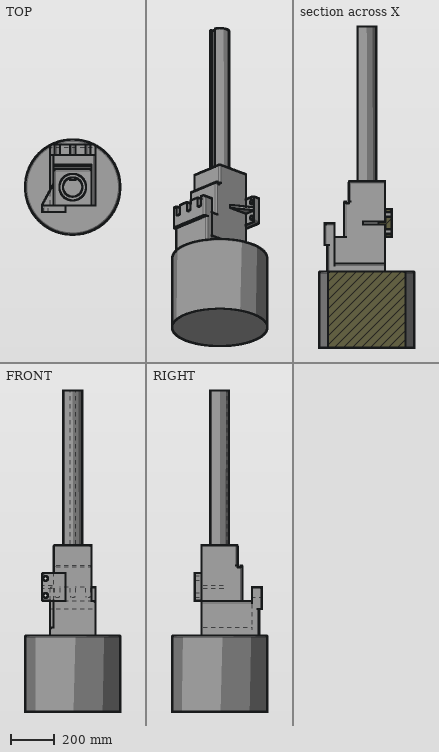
import cadquery as cq

total_height = 1473.0
edge_round = 9.0

base_diameter = 438.0
base_height = 350.0

shaft_diameter = 88.0
keyway_width = 25.0
keyway_depth = 12.0

front_y = -84.0
tower_half_width = 87.0
tower_back_y = 82.0
tower_top = 765.0
step_back_y = 105.0
step_top = 672.0
notch_bottom = 663.0
groove_back_y = 95.0
foot_half_width = 105.0
left_ledge_top = 386.0
foot_top = 508.0
bearing_diameter = 122.0
bearing_recess_depth = 3.0

wall_front_y = 147.0
wall_back_y = 195.0
wall_lower_back_y = 181.0
wall_top = 572.0
wall_overhang_bottom = 471.0
slot_width = 24.0
slot_spacing = 70.0
slot_bottom = 525.0

plate_left_x = -141.0
plate_right_x = -32.0
plate_bottom = 508.0
plate_top = 636.0
plate_thickness = 31.0
plate_hole_diameter = 20.0
plate_hole_inset = 17.0
plate_hole_edge_distance = 25.0
rib_back_y = 18.0
rib_bottom = 564.0
rib_thickness = 15.0


def block(x_min, x_max, y_min, y_max, z_min, z_max):
    """Axis-aligned box given by its limits."""
    return (
        cq.Workplane("XY")
        .box(x_max - x_min, y_max - y_min, z_max - z_min, centered=False)
        .translate((x_min, y_min, z_min))
    )


def make_base():
    base = cq.Workplane("XY").circle(base_diameter / 2).extrude(base_height)
    return base.faces(">Z").edges().fillet(edge_round)


def make_tower():
    tower = block(-tower_half_width, tower_half_width, front_y, tower_back_y, base_height, tower_top)
    tower = tower.edges("(>Y and |Z) or (>Z and >Y) or (>Z and <X)").fillet(edge_round)
    step = block(-tower_half_width, tower_half_width, 0, step_back_y, base_height, step_top)
    step = step.edges(">Y and (|Z or >Z)").fillet(edge_round)
    groove = block(
        -tower_half_width, tower_half_width, tower_back_y, groove_back_y, notch_bottom, step_top
    )
    step = step.cut(groove)
    return tower.union(step)


def make_foot():
    right_foot = block(
        -tower_half_width, foot_half_width, front_y, wall_front_y, base_height, foot_top
    ).edges(">X and >Z").fillet(edge_round)
    left_ledge = block(
        -foot_half_width, 0, front_y, wall_front_y, base_height, left_ledge_top
    ).edges("<X and >Z").fillet(edge_round)
    return right_foot.union(left_ledge)


def make_wall():
    lower = block(
        -foot_half_width, foot_half_width,
        wall_front_y, wall_lower_back_y,
        base_height, wall_overhang_bottom,
    ).edges(">Y and |Z").fillet(edge_round)
    upper = block(
        -foot_half_width, foot_half_width, wall_front_y, wall_back_y, wall_overhang_bottom, wall_top
    ).edges("(>Y and |Z) or (>Z and <X)").fillet(edge_round)
    wall = lower.union(upper)
    for index in (-1, 0, 1):
        x = index * slot_spacing
        slot = block(
            x - slot_width / 2, x + slot_width / 2, wall_front_y, wall_back_y, slot_bottom, wall_top
        ).edges("<Z and |Y").fillet(edge_round)
        wall = wall.cut(slot)
    return wall


def make_bracket():
    plate = block(
        plate_left_x, plate_right_x, front_y - plate_thickness, front_y, plate_bottom, plate_top
    ).edges("<X and |Y").fillet(edge_round)
    hole_x = plate_left_x + plate_hole_inset
    hole_heights = (plate_bottom + plate_hole_edge_distance, plate_top - plate_hole_edge_distance)
    holes = (
        cq.Workplane("XZ", origin=(0, front_y, 0))
        .pushPoints([(hole_x, z) for z in hole_heights])
        .circle(plate_hole_diameter / 2)
        .extrude(plate_thickness)
    )
    rib = (
        cq.Workplane("XY", origin=(0, 0, rib_bottom))
        .moveTo(plate_left_x, front_y)
        .lineTo(-tower_half_width, front_y)
        .lineTo(-tower_half_width, rib_back_y)
        .close()
        .extrude(rib_thickness)
    )
    return plate.cut(holes).union(rib)


def make_shaft():
    shaft = cq.Workplane("XY").circle(shaft_diameter / 2).extrude(total_height)
    radius = shaft_diameter / 2
    keyway = block(
        -keyway_width / 2, keyway_width / 2, radius - keyway_depth, radius, tower_top, total_height
    )
    return shaft.cut(keyway)


bearing_recess = (
    cq.Workplane("XY", origin=(0, 0, tower_top - bearing_recess_depth))
    .circle(bearing_diameter / 2)
    .extrude(bearing_recess_depth)
)

housing = make_base().union(make_tower()).union(make_foot()).union(make_wall())
result = housing.cut(bearing_recess).union(make_bracket()).union(make_shaft())